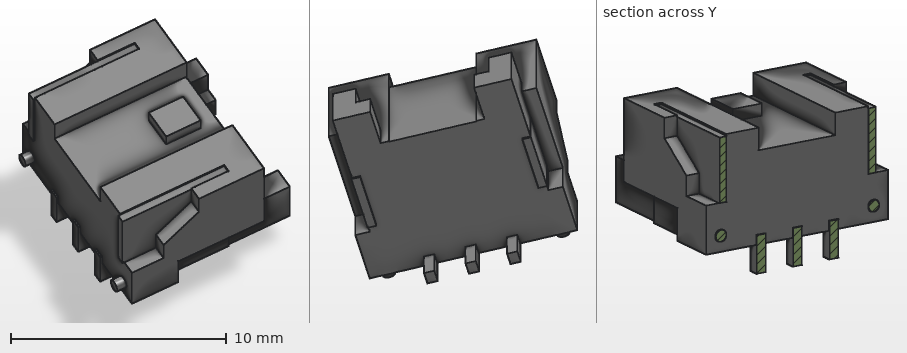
import cadquery as cq


body_width = 10.0
body_depth = 7.1
body_height = 5.7
half_width = body_width / 2

channel_width = 4.2
channel_floor_z = 4.6
middle_rear_setback = 0.03
stop_width = 1.6
stop_front_y = 4.3
stop_rear_y = 6.15
stop_top_z = 5.2

plate_outer_x = 4.3
plate_thickness = 0.4
plate_inner_x = plate_outer_x - plate_thickness
plate_rear_y = 5.6
plate_protrusion = 0.1
plate_bottom_z = 2.4
plate_top_z = 5.62

cutout_top_rear_y = 3.6
cutout_slope_top_z = 4.7
cutout_slope_bottom_z = 3.4
cutout_bottom_rear_y = 1.7

undercut_front_y = 2.5
undercut_height = 1.6

foot_outer_x = 4.32
foot_front_y = 2.8
foot_drop = 0.1

tail_length = 1.8
tail_wall_height = 2.25
tail_wall_inner_x = 3.2
tail_base_inner_x = 2.5
tail_base_height = 1.1

pin_count = 3
pin_pitch = 2.0
pin_width = 0.5
pin_protrusion = 0.1
pin_rear_y = 0.5
pin_top_z = 0.5
pin_drop = 1.4

peg_diameter = 0.6
peg_length = 0.5
peg_x = 4.2
peg_z = 0.8


def box_between(x_range, y_range, z_range):
    """Axis-aligned box spanning the given (low, high) ranges."""
    x_low, x_high = x_range
    y_low, y_high = y_range
    z_low, z_high = z_range
    box = cq.Workplane("XY").box(x_high - x_low, y_high - y_low, z_high - z_low, centered=False)
    return box.translate((x_low, y_low, z_low))


def both_sides(shape):
    """The shape at +X together with its mirror image at -X."""
    return shape.union(shape.mirror("YZ"))


def make_housing():
    half_channel = channel_width / 2
    x_channel = (-half_channel, half_channel)
    housing = box_between((-half_width, half_width), (0, body_depth), (0, body_height))
    channel = box_between(x_channel, (0, body_depth), (channel_floor_z, body_height))
    rear_recess = box_between(
        x_channel, (body_depth - middle_rear_setback, body_depth), (0, channel_floor_z)
    )
    stop = box_between(
        (-stop_width / 2, stop_width / 2), (stop_front_y, stop_rear_y), (channel_floor_z, stop_top_z)
    )
    return housing.cut(channel).cut(rear_recess).union(stop)


def make_plate_slot():
    return box_between((plate_inner_x, plate_outer_x), (0, plate_rear_y), (plate_bottom_z, body_height))


def make_plate():
    return box_between(
        (plate_inner_x, plate_outer_x),
        (-plate_protrusion, plate_rear_y),
        (plate_bottom_z, plate_top_z),
    )


def make_side_cutout():
    outline = [
        (0, plate_bottom_z),
        (cutout_bottom_rear_y, plate_bottom_z),
        (cutout_bottom_rear_y, cutout_slope_bottom_z),
        (cutout_top_rear_y, cutout_slope_top_z),
        (cutout_top_rear_y, body_height),
        (0, body_height),
    ]
    profile = cq.Workplane("YZ", origin=(plate_outer_x, 0, 0)).polyline(outline).close()
    return profile.extrude(half_width - plate_outer_x)


def make_undercut():
    return box_between(
        (plate_outer_x, half_width), (undercut_front_y, body_depth), (0, undercut_height)
    )


def make_foot():
    return box_between(
        (plate_inner_x, foot_outer_x), (foot_front_y, plate_rear_y), (-foot_drop, undercut_height)
    )


def make_tail():
    y_tail = (body_depth, body_depth + tail_length)
    wall = box_between((tail_wall_inner_x, plate_outer_x), y_tail, (0, tail_wall_height))
    base = box_between((tail_base_inner_x, tail_wall_inner_x), y_tail, (0, tail_base_height))
    return wall.union(base)


def make_pin(center_x):
    return box_between(
        (center_x - pin_width / 2, center_x + pin_width / 2),
        (-pin_protrusion, pin_rear_y),
        (-pin_drop, pin_top_z),
    )


def make_peg():
    return cq.Workplane("XZ").center(peg_x, peg_z).circle(peg_diameter / 2).extrude(peg_length)


part = make_housing()
for make_cut in (make_plate_slot, make_side_cutout, make_undercut):
    part = part.cut(both_sides(make_cut()))
for make_addition in (make_plate, make_foot, make_tail, make_peg):
    part = part.union(both_sides(make_addition()))
for index in range(pin_count):
    part = part.union(make_pin((index - (pin_count - 1) / 2) * pin_pitch))

result = part